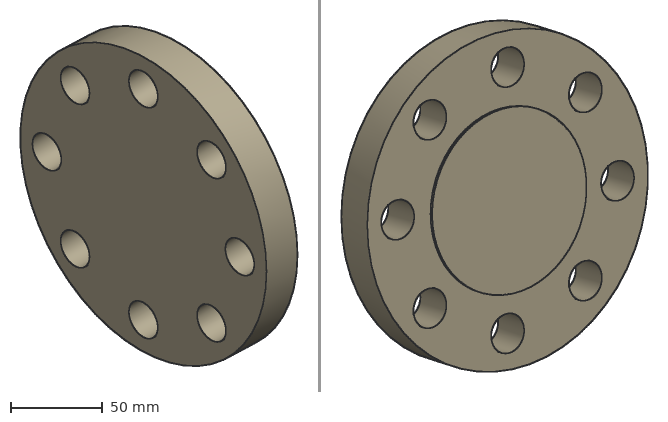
import cadquery as cq

flange_diameter = 190.5
total_thickness = 25.3
raised_face_height = 1.5
raised_face_diameter = 104.8
bolt_circle_diameter = 149.2
bolt_hole_diameter = 22.3
bolt_hole_count = 8

disc_thickness = total_thickness - raised_face_height


def cylinder_along_y(diameter, length):
    """Cylinder from the plain face (y = 0) towards +Y."""
    return cq.Workplane("XZ").circle(diameter / 2).extrude(-length)


def bolt_holes():
    """Ring of through-hole cutters, the first one on the X axis."""
    return (
        cq.Workplane("XZ")
        .polarArray(bolt_circle_diameter / 2, 0, 360, bolt_hole_count)
        .circle(bolt_hole_diameter / 2)
        .extrude(-disc_thickness)
    )


disc = cylinder_along_y(flange_diameter, disc_thickness)
raised_face = cylinder_along_y(raised_face_diameter, total_thickness)

result = disc.union(raised_face).cut(bolt_holes())